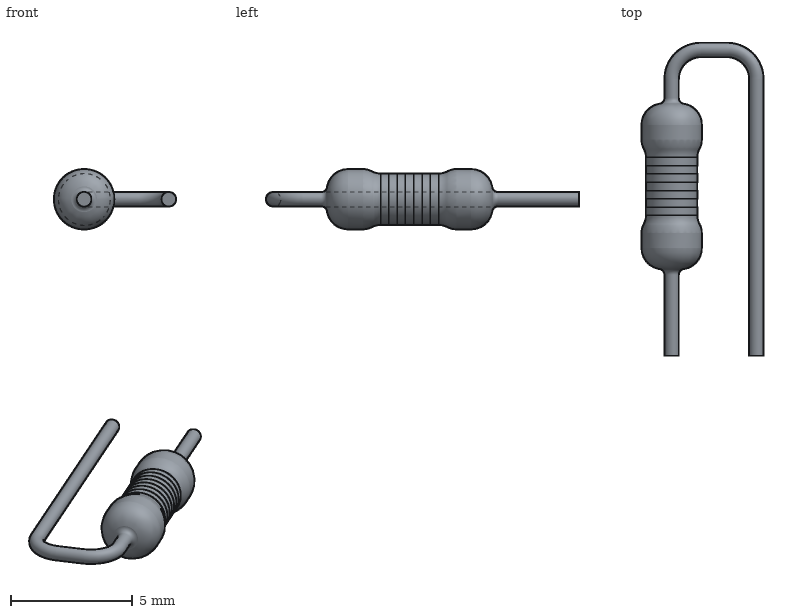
import cadquery as cq
import math


lead_diameter = 0.6
lead_radius = lead_diameter / 2
bend_radius = 1.2
lead_end_y = -6.98
overall_length = 12.9
return_y = lead_end_y + overall_length - lead_radius
bend_start_y = return_y - bend_radius

overall_width = 5.05

cap_radius = 1.25
waist_diameter = 2.13
waist_radius = waist_diameter / 2
band_radius = 1.07
band_count = 4
band_pitch = 0.68
band_width = band_pitch / 2
band_half_span = ((band_count - 1) * band_pitch + band_width) / 2
cap_inner = 1.92
cap_outer = 2.53
dome_end = 3.4
collar_radius = 0.53
collar_fillet = collar_radius - lead_radius
collar_end = dome_end + collar_fillet
lead_spacing = overall_width - cap_radius - lead_radius

shoulder_middle = (cap_inner + band_half_span) / 2
shoulder_middle_radius = (cap_radius + waist_radius) / 2


def make_body():
    """Join a plain waist to two mirrored end caps, each revolved about Y."""
    fillet_offset = collar_fillet * (1 - math.sqrt(0.5))
    waist = (
        cq.Workplane("XZ", origin=(0, -band_half_span, 0))
        .circle(waist_radius)
        .extrude(-2 * band_half_span)
    )
    end_cap = (
        cq.Workplane("XY")
        .moveTo(0, band_half_span - band_width)
        .lineTo(waist_radius, band_half_span - band_width)
        .lineTo(waist_radius, band_half_span)
        .tangentArcPoint((shoulder_middle_radius, shoulder_middle), relative=False)
        .tangentArcPoint((cap_radius, cap_inner), relative=False)
        .lineTo(cap_radius, cap_outer)
        .tangentArcPoint((collar_radius, dome_end), relative=False)
        .threePointArc(
            (lead_radius + fillet_offset, dome_end + fillet_offset),
            (lead_radius, collar_end),
        )
        .lineTo(0, collar_end)
        .close()
        .revolve(360, (0, 0, 0), (0, 1, 0))
    )
    return waist.union(end_cap).union(end_cap.mirror("XZ"))


def make_band(start_y):
    """Slightly raised colour band reaching from start_y towards +Y."""
    return cq.Workplane("XZ", origin=(0, start_y, 0)).circle(band_radius).extrude(-band_width)


def make_lead():
    """Sweep one wire through the body, around both bends and back."""
    path = (
        cq.Workplane("XY")
        .moveTo(0, lead_end_y)
        .lineTo(0, bend_start_y)
        .tangentArcPoint((bend_radius, return_y), relative=False)
        .lineTo(lead_spacing - bend_radius, return_y)
        .tangentArcPoint((lead_spacing, bend_start_y), relative=False)
        .lineTo(lead_spacing, lead_end_y)
    )
    return cq.Workplane("XZ", origin=(0, lead_end_y, 0)).circle(lead_radius).sweep(path)


result = make_body()
for index in range(band_count):
    result = result.union(make_band(index * band_pitch - band_half_span))
result = result.union(make_lead())